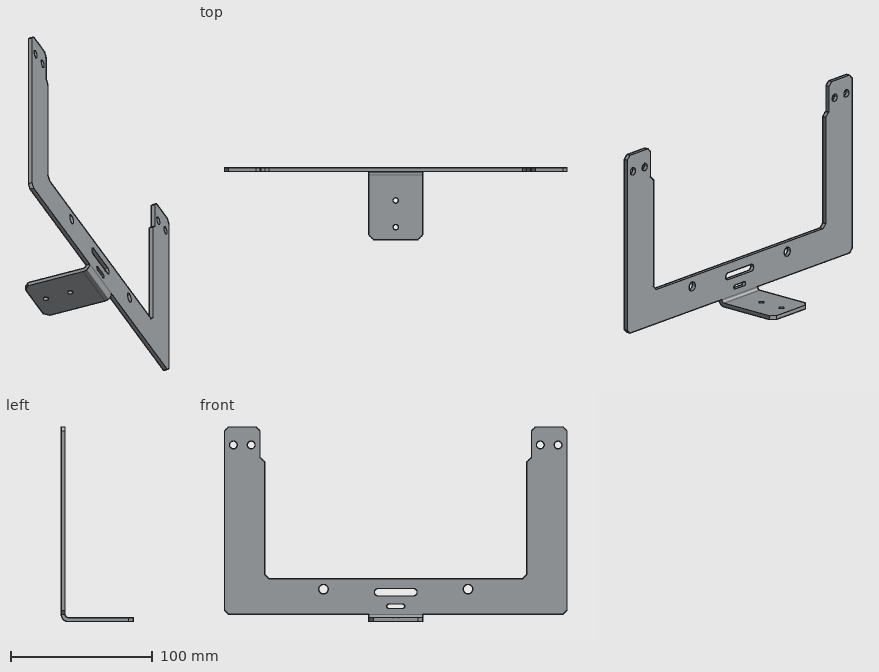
import cadquery as cq

width = 241.3
depth = 51.0
height = 137.3
thickness = 3.0
corner_cut = 3.0

bar_height = 25.3
leg_width = 28.5
leg_tip_width = 25.0
leg_tip_height = 22.0

tip_hole_diameter = 5.3
tip_hole_spacing = 12.5
tip_hole_drop = 12.8
bar_hole_diameter = 6.5
bar_hole_spacing = 101.8
bar_hole_height = 17.9
large_slot_length = 30.0
large_slot_width = 5.0
large_slot_height = 15.7
small_slot_length = 12.5
small_slot_width = 3.0
small_slot_height = 5.8

tab_width = 38.4
tab_corner_cut = 3.5
bend_inner_radius = 2.2
bend_outer_radius = bend_inner_radius + thickness
tab_hole_diameter = 3.5
tab_hole_spacing = 18.8
tab_hole_tip_distance = 9.0

half_width = width / 2
plate_bottom = bend_outer_radius
bar_top = plate_bottom + bar_height


def make_plate():
    """U-shaped plate with chamfered corners and stepped, narrower leg tips."""
    inner_x = half_width - leg_width
    tip_inner_x = half_width - leg_tip_width
    step_z = height - leg_tip_height
    right_half = [
        (half_width - corner_cut, plate_bottom),
        (half_width, plate_bottom + corner_cut),
        (half_width, height - corner_cut),
        (half_width - corner_cut, height),
        (tip_inner_x + corner_cut, height),
        (tip_inner_x, height - corner_cut),
        (tip_inner_x, step_z),
        (inner_x + corner_cut, step_z),
        (inner_x, step_z - corner_cut),
        (inner_x, bar_top + corner_cut),
        (inner_x - corner_cut, bar_top),
    ]
    left_half = [(-x, z) for x, z in reversed(right_half)]
    return cq.Workplane("XZ").polyline(right_half + left_half).close().extrude(thickness)


def make_tab():
    """Tab that leaves the plate's lower edge and bends forward through 90 degrees."""
    bend_center = (-bend_outer_radius, bend_outer_radius)
    diagonal = 0.5 ** 0.5

    def bend_middle(radius):
        return (bend_center[0] + radius * diagonal, bend_center[1] - radius * diagonal)

    tab = (
        cq.Workplane("YZ")
        .moveTo(0, bend_outer_radius)
        .threePointArc(bend_middle(bend_outer_radius), (-bend_outer_radius, 0))
        .lineTo(-depth, 0)
        .lineTo(-depth, thickness)
        .lineTo(-bend_outer_radius, thickness)
        .threePointArc(bend_middle(bend_inner_radius), (-thickness, bend_outer_radius))
        .close()
        .extrude(tab_width / 2, both=True)
    )
    return tab.faces("<Y").edges("|Z").chamfer(tab_corner_cut)


def cut_plate_slot(body, length, slot_width, height_above_edge):
    center_z = plate_bottom + height_above_edge
    slot = cq.Workplane("XZ").center(0, center_z).slot2D(length, slot_width).extrude(thickness)
    return body.cut(slot)


def cut_plate_holes(body, points, diameter):
    holes = cq.Workplane("XZ").pushPoints(points).circle(diameter / 2).extrude(thickness)
    return body.cut(holes)


def cut_tab_holes(body):
    front_y = -depth + tab_hole_tip_distance
    points = [(0, front_y), (0, front_y + tab_hole_spacing)]
    holes = cq.Workplane("XY").pushPoints(points).circle(tab_hole_diameter / 2).extrude(thickness)
    return body.cut(holes)


tip_center_x = half_width - leg_tip_width / 2
tip_hole_points = [
    (side * tip_center_x + offset * tip_hole_spacing / 2, height - tip_hole_drop)
    for side in (-1, 1)
    for offset in (-1, 1)
]
bar_hole_points = [
    (side * bar_hole_spacing / 2, plate_bottom + bar_hole_height) for side in (-1, 1)
]

bracket = make_plate().union(make_tab())
bracket = cut_plate_holes(bracket, tip_hole_points, tip_hole_diameter)
bracket = cut_plate_holes(bracket, bar_hole_points, bar_hole_diameter)
bracket = cut_plate_slot(bracket, large_slot_length, large_slot_width, large_slot_height)
bracket = cut_plate_slot(bracket, small_slot_length, small_slot_width, small_slot_height)
result = cut_tab_holes(bracket)